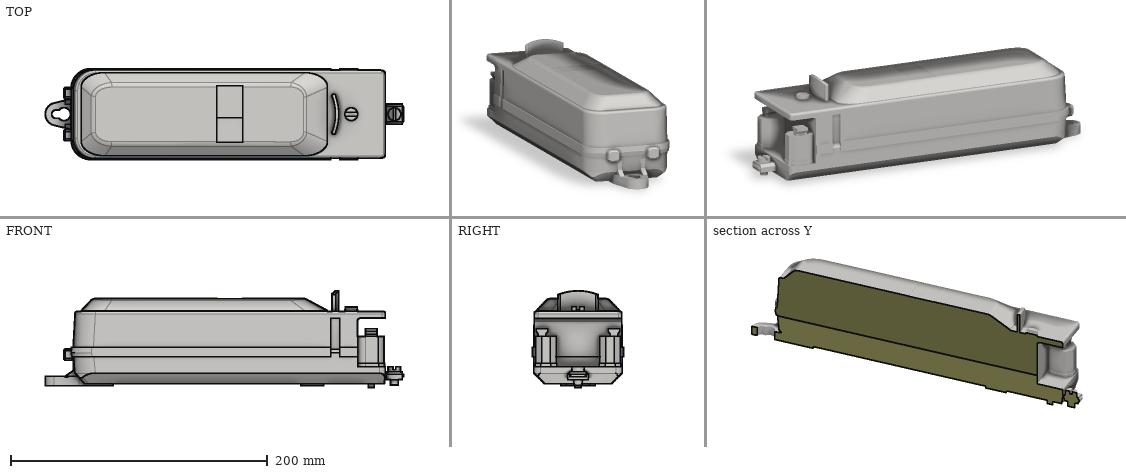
import cadquery as cq
import math


TOTAL_LENGTH = 279.47
TOTAL_WIDTH = 71.07
TOTAL_HEIGHT = 75.53

BODY_HALF_WIDTH = 34.5
BODY_CORNER_RADIUS = 15.7
BASE_LEFT = 22.0
BASE_LEFT_LOW = 23.2
BASE_RIGHT = 265.2
BASE_RIGHT_RADIUS = 5.0
BASE_RIGHT_SETBACK = 0.8
BEVEL = 8.5
FLOOR_LEFT_INSET = 7.7
FLOOR_CORNER_RADIUS = 3.0
FLOOR_RIGHT_RADIUS = 1.0
PARTING_Z = 21.1
SHELF_Z = 13.4
WALL_END = 243.4

LUG_BOTTOM = -1.6
LUG_TOP = 6.1
LUG_TIP_RADIUS = 9.0
LUG_FLARE_ANGLE = 15.0
LUG_FLARE_END = 26.0
LUG_HALF_WIDTH = 13.3
LUG_END = 53.0
LUG_END_RADIUS = 8.0
KEYHOLE_X = 14.7
KEYHOLE_DIAMETER = 10.0
KEYHOLE_SLOT_WIDTH = 6.3
KEYHOLE_SLOT_X = 8.3
GUSSET_THICKNESS = 3.6
GUSSET_Y = 9.5
GUSSET_TOE_X = 15.7
GUSSET_FACE_X = 21.8
GUSSET_SLOPE_TOP = 10.3
GUSSET_TOP = 17.6
GUSSET_ROOT_X = 26.0

FOOT_X = 208.2
FOOT_DIAMETER = 18.0
PIN_DIAMETER = 5.0
PIN_LENGTH = 2.9

POST_X = 254.1
POST_RIGHT = 264.1
POST_OUTER_Y = 33.0
POST_INNER_Y = 17.0
POST_TOP = 37.1
POST_CORNER_RADIUS = 6.0
POST_CORNER_CHAMFER = 4.6
PLINTH_TOP = 16.3
PLINTH_MARGIN = 0.5
CLAMP_Y = 28.0
CLAMP_LENGTH = 9.0
CLAMP_HALF_WIDTH = 4.5
CLAMP_NECK_HALF_WIDTH = 3.0
CLAMP_NECK_HEIGHT = 1.7
CLAMP_FLARE_TOP = 3.8
CLAMP_HEIGHT = 6.0

TERMINAL_X = 272.1
TERMINAL_LENGTH = 12.4
TERMINAL_HALF_WIDTH = 8.0
TERMINAL_BOTTOM = 3.3
TERMINAL_TOP = 9.4
TERMINAL_CHAMFER = 2.0
TAB_HALF_WIDTH = 6.5
TAB_THICKNESS = 1.9
TAB_BOTTOM = 5.5
TERMINAL_HEAD_DIAMETER = 10.0
TERMINAL_HEAD_HEIGHT = 4.0
TERMINAL_SHANK_DIAMETER = 6.3
TERMINAL_SHANK_LENGTH = 4.3

COVER_LEFT = 21.3
COVER_LEFT_TOP = 23.3
DECK_Z = 56.6
DECK_HALF_WIDTH = 34.2
DECK_EDGE_RADIUS = 1.9
DECK_CORNER_RADIUS = 3.0
CANOPY_BOTTOM = 51.2
CANOPY_INNER_RADIUS = 2.3
BAND_LEFT_BOTTOM = 21.0
BAND_LEFT_CREASE = 20.1
BAND_LEFT_TOP = 20.5
BAND_CREASE_Z = 24.3
BAND_HEIGHT = 7.5

DOME_STEP = 0.6
DOME_LEFT = 28.1
DOME_RIGHT = 220.0
DOME_HALF_WIDTH = 32.4
DOME_TOP = 66.6
DOME_SIDE_RUN = 9.0
DOME_RIGHT_RUN = 17.5
DOME_EDGE_RADIUS = 5.0
DOME_CORNER_LENGTH = 18.0
DOME_CORNER_WIDTH = 11.2
DOME_TOP_LEFT_CORNER_LENGTH = 15.5
DOME_TOP_RIGHT_CORNER_LENGTH = 13.0
DOME_TOP_CORNER_WIDTH = 10.0

LABEL_LEFT = 133.6
LABEL_RIGHT = 153.9
LABEL_HALF_WIDTH = 22.0
LABEL_SPLIT_Y = -2.7
LABEL_DEPTH = 0.15

LATCH_LEFT = 222.4
LATCH_RIGHT = 229.4
LATCH_DEPTH = 2.0
TONGUE_TOP = 27.1
TONGUE_SHOULDER = 24.4

HINGE_SIZE = 9.0
HINGE_Y = 16.4
HINGE_Z = 22.8
HINGE_FRONT = 14.6
HINGE_CHAMFER = 1.6
HINGE_EDGE_CHAMFER = 1.0

GRIP_X = 228.8
GRIP_RADIUS = 42.0
GRIP_THICKNESS = 2.6
GRIP_HALF_WIDTH = 14.2
GRIP_POST_DIAMETER = 3.0
GRIP_TOP = TOTAL_HEIGHT - PIN_LENGTH
GRIP_TOP_DROP = 3.1
DECK_SCREW_X = 238.5
DECK_SCREW_DIAMETER = 10.0
DECK_SCREW_HEIGHT = 3.4
DECK_SLOT_WIDTH = 3.0
TERMINAL_SLOT_WIDTH = 2.0
SLOT_DEPTH = 2.2

EMBED = 1.0


def box(x0, x1, y0, y1, z0, z1):
    """Axis-aligned box between two opposite corners."""
    return cq.Workplane("XY").box(x1 - x0, y1 - y0, z1 - z0, centered=False).translate((x0, y0, z0))


def cylinder(x, y, z0, z1, diameter):
    """Upright cylinder between two heights."""
    return cq.Workplane("XY", origin=(x, y, z0)).circle(diameter / 2).extrude(z1 - z0)


def slotted_head(x, y, z0, z1, diameter, slot_length, slot_width):
    """Cheese-head screw head; slot_length runs along X and slot_width along Y."""
    head = cylinder(x, y, z0, z1, diameter)
    slot = box(x - slot_length / 2, x + slot_length / 2, y - slot_width / 2, y + slot_width / 2,
               z1 - SLOT_DEPTH, z1)
    return head.cut(slot)


def rounded_outline(z, left, right, half_width, left_corner, right_corner):
    """Closed outline at height z; each corner is a quarter ellipse given as (length, width)."""
    left_len, left_wid = left_corner
    right_len, right_wid = right_corner

    def quarter(outline, length, width, start_angle):
        return outline.ellipseArc(length, width, start_angle, start_angle + 90)

    left_cx, left_cy = left + left_len, half_width - left_wid
    right_cx, right_cy = right - right_len, half_width - right_wid
    outline = cq.Workplane("XY", origin=(0, 0, z)).moveTo(left_cx, -half_width).lineTo(right_cx, -half_width)
    outline = quarter(outline, right_len, right_wid, 270).lineTo(right, right_cy)
    outline = quarter(outline, right_len, right_wid, 0).lineTo(left_cx, half_width)
    outline = quarter(outline, left_len, left_wid, 90).lineTo(left, -left_cy)
    return quarter(outline, left_len, left_wid, 180).close()


def ruled_between(lower, upper):
    """Solid with straight walls between two outlines."""
    wires = [lower.wire().val(), upper.wire().val()]
    return cq.Workplane("XY").newObject([cq.Solid.makeLoft(wires, True)])


def round_corner(radius):
    return (radius, radius)



def base_shell():
    side_corner = round_corner(BODY_CORNER_RADIUS)
    right_corner = round_corner(BASE_RIGHT_RADIUS)
    floor_left_corner = round_corner(FLOOR_CORNER_RADIUS)
    floor_right_corner = round_corner(FLOOR_RIGHT_RADIUS)
    floor = rounded_outline(
        0, BASE_LEFT_LOW + FLOOR_LEFT_INSET, BASE_RIGHT - BASE_RIGHT_SETBACK, BODY_HALF_WIDTH - BEVEL,
        floor_left_corner, floor_right_corner)
    bevel_top = rounded_outline(
        BEVEL, BASE_LEFT_LOW, BASE_RIGHT, BODY_HALF_WIDTH, floor_left_corner, floor_right_corner)
    waist = rounded_outline(BEVEL, BASE_LEFT_LOW, BASE_RIGHT, BODY_HALF_WIDTH, side_corner, right_corner)
    rim = rounded_outline(PARTING_Z, BASE_LEFT, BASE_RIGHT, BODY_HALF_WIDTH, side_corner, right_corner)
    rounded_wall = rounded_outline(0, BASE_LEFT_LOW, BASE_RIGHT, BODY_HALF_WIDTH, side_corner, right_corner)
    bottom = ruled_between(floor, bevel_top).intersect(rounded_wall.extrude(BEVEL))
    shell = bottom.union(ruled_between(waist, rim))
    step = box(WALL_END, BASE_RIGHT, -BODY_HALF_WIDTH, BODY_HALF_WIDTH, SHELF_Z, PARTING_Z)
    return shell.cut(step)


def mounting_lug():
    flare = math.radians(LUG_FLARE_ANGLE)
    tangent_x = LUG_TIP_RADIUS * (1 - math.sin(flare))
    tangent_y = LUG_TIP_RADIUS * math.cos(flare)
    nose = (
        cq.Workplane("XY", origin=(0, 0, LUG_BOTTOM))
        .moveTo(tangent_x, -tangent_y)
        .threePointArc((0, 0), (tangent_x, tangent_y))
        .lineTo(LUG_FLARE_END, LUG_HALF_WIDTH)
        .lineTo(LUG_FLARE_END, -LUG_HALF_WIDTH)
        .close()
        .extrude(LUG_TOP - LUG_BOTTOM)
    )
    tongue = box(LUG_FLARE_END, LUG_END, -LUG_HALF_WIDTH, LUG_HALF_WIDTH, LUG_BOTTOM, EMBED)
    tongue = tongue.edges("|Z and >X").fillet(LUG_END_RADIUS)
    root = box(LUG_FLARE_END, BASE_LEFT_LOW + FLOOR_LEFT_INSET + EMBED,
               -LUG_HALF_WIDTH, LUG_HALF_WIDTH, LUG_BOTTOM, LUG_TOP)
    lug = nose.union(root).union(tongue)
    slot = box(KEYHOLE_SLOT_X, KEYHOLE_X,
               -KEYHOLE_SLOT_WIDTH / 2, KEYHOLE_SLOT_WIDTH / 2, LUG_BOTTOM, LUG_TOP)
    for x, diameter in ((KEYHOLE_X, KEYHOLE_DIAMETER), (KEYHOLE_SLOT_X, KEYHOLE_SLOT_WIDTH)):
        slot = slot.union(cylinder(x, 0, LUG_BOTTOM, LUG_TOP, diameter))
    return lug.cut(slot)


def gusset(y):
    """Rib that ties the lug to the left face of the base."""
    profile = [
        (GUSSET_TOE_X, LUG_TOP),
        (GUSSET_FACE_X, GUSSET_SLOPE_TOP),
        (GUSSET_FACE_X, GUSSET_TOP),
        (GUSSET_ROOT_X, GUSSET_TOP),
        (GUSSET_ROOT_X, LUG_TOP - EMBED),
        (GUSSET_TOE_X, LUG_TOP - EMBED),
    ]
    rib = cq.Workplane("XZ").polyline(profile).close().extrude(GUSSET_THICKNESS / 2, both=True)
    return rib.translate((0, y, 0))


def post_prism(side, margin, z0, z1):
    """Upright prism with rounded corners at the wall and chamfered corners at the right."""
    y0, y1 = sorted((side * (POST_OUTER_Y + margin), side * (POST_INNER_Y - margin)))
    prism = box(WALL_END, POST_RIGHT + margin, y0, y1, z0, z1)
    prism = prism.edges("|Z and <X").fillet(POST_CORNER_RADIUS)
    return prism.edges("|Z and >X").chamfer(POST_CORNER_CHAMFER)


def post_clamp(side):
    """Clamp bar on a narrow neck, running along X on top of a post."""
    profile = [
        (CLAMP_NECK_HALF_WIDTH, -EMBED),
        (CLAMP_NECK_HALF_WIDTH, CLAMP_NECK_HEIGHT),
        (CLAMP_HALF_WIDTH, CLAMP_FLARE_TOP),
        (CLAMP_HALF_WIDTH, CLAMP_HEIGHT),
    ]
    profile += [(-y, z) for y, z in reversed(profile)]
    bar = cq.Workplane("YZ").polyline(profile).close().extrude(CLAMP_LENGTH / 2, both=True)
    return bar.translate((POST_X, side * CLAMP_Y, POST_TOP))


def terminal_post(side):
    """Post with its plinth and clamp; side is -1 or 1."""
    plinth = post_prism(side, PLINTH_MARGIN, SHELF_Z - EMBED, PLINTH_TOP)
    return plinth.union(post_prism(side, 0, SHELF_Z, POST_TOP)).union(post_clamp(side))


def earth_terminal():
    half_length = TERMINAL_LENGTH / 2
    block = box(TERMINAL_X - half_length, TERMINAL_X + half_length,
                -TERMINAL_HALF_WIDTH, TERMINAL_HALF_WIDTH, TERMINAL_BOTTOM, TERMINAL_TOP)
    block = block.edges("|X and >Z").chamfer(TERMINAL_CHAMFER)
    tab = box(BASE_RIGHT - BASE_RIGHT_RADIUS, TOTAL_LENGTH, -TAB_HALF_WIDTH, TAB_HALF_WIDTH,
              TAB_BOTTOM, TAB_BOTTOM + TAB_THICKNESS)
    tab = tab.edges("|Z and >X").chamfer(TERMINAL_CHAMFER / 2)
    head = slotted_head(TERMINAL_X, 0, TERMINAL_TOP, TERMINAL_TOP + TERMINAL_HEAD_HEIGHT,
                        TERMINAL_HEAD_DIAMETER, TERMINAL_SLOT_WIDTH, TERMINAL_HEAD_DIAMETER)
    shank = cylinder(TERMINAL_X, 0, TERMINAL_BOTTOM - TERMINAL_SHANK_LENGTH, TERMINAL_BOTTOM,
                     TERMINAL_SHANK_DIAMETER)
    return block.union(tab).union(head).union(shank)


def latch_tongue(side):
    """Ramped tongue that rises from the base into a latch recess of the cover."""
    inner = side * (BODY_HALF_WIDTH - LATCH_DEPTH)
    outer = side * BODY_HALF_WIDTH
    profile = [
        (inner, PARTING_Z - EMBED),
        (outer, PARTING_Z - EMBED),
        (outer, TONGUE_SHOULDER),
        (inner, TONGUE_TOP),
    ]
    tongue = cq.Workplane("YZ", origin=(LATCH_LEFT, 0, 0)).polyline(profile).close()
    return tongue.extrude(LATCH_RIGHT - LATCH_LEFT)


def make_base():
    base = base_shell().union(mounting_lug())
    for side in (-1, 1):
        base = base.union(gusset(side * GUSSET_Y)).union(terminal_post(side))
        base = base.union(latch_tongue(side))
    base = base.union(cylinder(FOOT_X, 0, LUG_BOTTOM, EMBED, FOOT_DIAMETER))
    base = base.union(cylinder(POST_X, 0, -PIN_LENGTH, EMBED, PIN_DIAMETER))
    return base.union(earth_terminal())



def cover_shell():
    side_corner = round_corner(BODY_CORNER_RADIUS)
    right_corner = round_corner(DECK_CORNER_RADIUS)
    lower = rounded_outline(PARTING_Z, COVER_LEFT, BASE_RIGHT, BODY_HALF_WIDTH, side_corner, right_corner)
    upper = rounded_outline(DECK_Z, COVER_LEFT_TOP, BASE_RIGHT, DECK_HALF_WIDTH, side_corner, right_corner)
    shell = ruled_between(lower, upper).faces(">Z").edges().fillet(DECK_EDGE_RADIUS)
    under_canopy = box(WALL_END, BASE_RIGHT, -BODY_HALF_WIDTH, BODY_HALF_WIDTH, PARTING_Z, CANOPY_BOTTOM)
    under_canopy = under_canopy.edges("|Y and <X and >Z").fillet(CANOPY_INNER_RADIUS)
    return shell.cut(under_canopy)


def band():
    """Raised rim round the lower edge of the cover, open at the right end."""
    half_width = TOTAL_WIDTH / 2
    band_top = PARTING_Z + BAND_HEIGHT
    left_corner = round_corner(BODY_CORNER_RADIUS)
    right_corner = round_corner(BASE_RIGHT_RADIUS)
    levels = ((PARTING_Z, BAND_LEFT_BOTTOM), (BAND_CREASE_Z, BAND_LEFT_CREASE), (band_top, BAND_LEFT_TOP))
    bottom, crease, top = [
        rounded_outline(z, left, BASE_RIGHT, half_width, left_corner, right_corner) for z, left in levels
    ]
    ring = ruled_between(bottom, crease).union(ruled_between(crease, top))
    return ring.intersect(box(0, WALL_END, -half_width, half_width, PARTING_Z, band_top))


def dome():
    step_top = DECK_Z + DOME_STEP
    corner = (DOME_CORNER_LENGTH, DOME_CORNER_WIDTH)
    top_left_corner = (DOME_TOP_LEFT_CORNER_LENGTH, DOME_TOP_CORNER_WIDTH)
    top_right_corner = (DOME_TOP_RIGHT_CORNER_LENGTH, DOME_TOP_CORNER_WIDTH)
    foot = rounded_outline(DECK_Z - EMBED, DOME_LEFT, DOME_RIGHT, DOME_HALF_WIDTH, corner, corner)
    lower = rounded_outline(step_top, DOME_LEFT, DOME_RIGHT, DOME_HALF_WIDTH, corner, corner)
    upper = rounded_outline(DOME_TOP, DOME_LEFT + DOME_SIDE_RUN, DOME_RIGHT - DOME_RIGHT_RUN,
                            DOME_HALF_WIDTH - DOME_SIDE_RUN, top_left_corner, top_right_corner)
    slopes = ruled_between(lower, upper).faces(">Z").edges().fillet(DOME_EDGE_RADIUS)
    return slopes.union(foot.extrude(DOME_STEP + EMBED))


def label_recess():
    """Two-level shallow label field across the top of the dome."""
    field = box(LABEL_LEFT, LABEL_RIGHT, -LABEL_HALF_WIDTH, LABEL_HALF_WIDTH,
                DOME_TOP - LABEL_DEPTH, DOME_TOP)
    deeper = box(LABEL_LEFT, LABEL_RIGHT, -LABEL_HALF_WIDTH, LABEL_SPLIT_Y,
                 DOME_TOP - 2 * LABEL_DEPTH, DOME_TOP)
    return field.union(deeper)


def latch_recess(side):
    """Slot in the cover side, open at the parting plane."""
    y0, y1 = sorted((side * (BODY_HALF_WIDTH - LATCH_DEPTH), side * TOTAL_WIDTH / 2))
    return box(LATCH_LEFT, LATCH_RIGHT, y0, y1, PARTING_Z, CANOPY_BOTTOM)


def hinge_lug(y):
    half = HINGE_SIZE / 2
    lug = box(HINGE_FRONT, COVER_LEFT, y - half, y + half, HINGE_Z - half, HINGE_Z + half)
    lug = lug.edges("|X").chamfer(HINGE_CHAMFER)
    lug = lug.faces("<X").edges().chamfer(HINGE_EDGE_CHAMFER)
    return lug


def grip():
    """Curved upright plate with a round post at each end and an arched top."""
    centre_x = GRIP_X - GRIP_RADIUS
    foot_z = DECK_Z - EMBED
    middle_radius = GRIP_RADIUS - GRIP_THICKNESS / 2
    post_x = centre_x + math.sqrt(middle_radius ** 2 - GRIP_HALF_WIDTH ** 2)
    ring = cylinder(centre_x, 0, foot_z, GRIP_TOP, 2 * GRIP_RADIUS)
    ring = ring.cut(cylinder(centre_x, 0, foot_z, GRIP_TOP, 2 * (GRIP_RADIUS - GRIP_THICKNESS)))
    plate = ring.intersect(box(centre_x, GRIP_X, -GRIP_HALF_WIDTH, GRIP_HALF_WIDTH, foot_z, GRIP_TOP))
    for side in (-1, 1):
        plate = plate.union(cylinder(post_x, side * GRIP_HALF_WIDTH, foot_z, GRIP_TOP, GRIP_POST_DIAMETER))
    end_y = GRIP_HALF_WIDTH + GRIP_POST_DIAMETER / 2
    end_z = GRIP_TOP - GRIP_TOP_DROP
    arch = (
        cq.Workplane("YZ", origin=(centre_x, 0, 0))
        .moveTo(-end_y, foot_z)
        .lineTo(-end_y, end_z)
        .threePointArc((0, GRIP_TOP), (end_y, end_z))
        .lineTo(end_y, foot_z)
        .close()
        .extrude(GRIP_RADIUS + GRIP_POST_DIAMETER)
    )
    return plate.intersect(arch)


def make_cover():
    cover = cover_shell().union(band()).union(dome()).cut(label_recess())
    for side in (-1, 1):
        cover = cover.cut(latch_recess(side)).union(hinge_lug(side * HINGE_Y))
    cover = cover.union(grip())
    return cover.union(slotted_head(DECK_SCREW_X, 0, DECK_Z, DECK_Z + DECK_SCREW_HEIGHT,
                                    DECK_SCREW_DIAMETER, DECK_SCREW_DIAMETER, DECK_SLOT_WIDTH))


base = make_base()
cover = make_cover()
result = cq.Compound.makeCompound([base.val(), cover.val()])